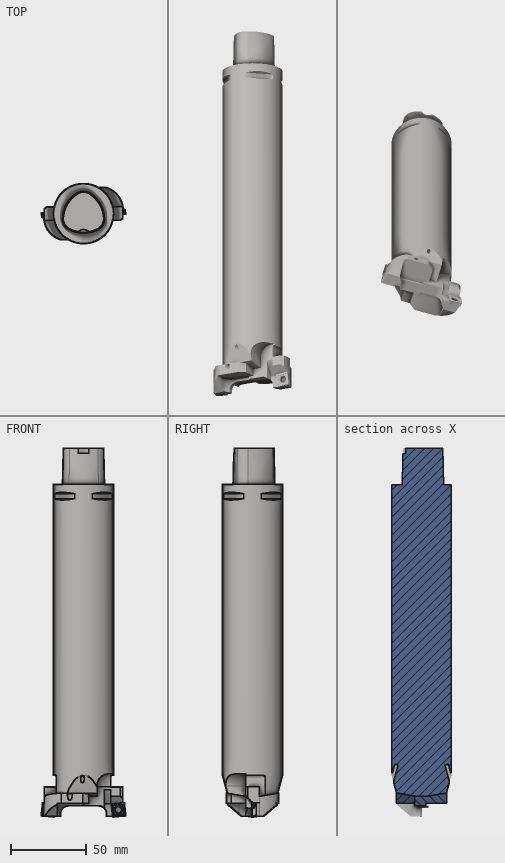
import cadquery as cq
import math

TOTAL_LENGTH = 244.8
SHANK_DIAMETER = 40.0
SHANK_RADIUS = SHANK_DIAMETER / 2
SHANK_TOP = 220.8

COUPLING_LENGTH = TOTAL_LENGTH - SHANK_TOP
LOBE_REACH = 15.0
SIDE_REACH = 13.0
LOBE_RADIUS = 8.0
LOBE_ANGLES = (90, 210, 330)
COUPLING_TAPER = 1.4
KEY_NOTCH_WIDTH = 6.5
KEY_NOTCH_HEIGHT = 3.5
KEY_NOTCH_RADIUS = 4.5
KEY_NOTCH_EDGE = 12.0

GRIP_COUNT = 4
GRIP_FIRST_ANGLE = 45.0
GRIP_HEIGHT = 213.0
GRIP_FLOOR_DISTANCE = 17.6
GRIP_FLOOR_WIDTH = 3.2
GRIP_MOUTH_WIDTH = 5.1

HEAD_BOTTOM = 13.7
SEATING_SLOPE = 9.7
RELIEF_TOP = 28.0
RELIEF_ANGLE = 15.0
SEAT_DISTANCE = 18.0
SEAT_FILLET = 1.2
CHIP_POCKET_TOP = 28.6
CHIP_POCKET_WALL = 9.0
CHIP_POCKET_RADIUS = 7.8
SHANK_COOLANT_DIAMETER = 2.5
SHANK_COOLANT_TILT = 15.0
SHANK_COOLANT_X = 0.7
SHANK_COOLANT_HEIGHT = 25.2

KEY_WIDTH = 9.0
KEY_HALF_WIDTH = KEY_WIDTH / 2
KEY_TOP = 20.0
CARTRIDGE_BOTTOM = 0.5
CARTRIDGE_REACH = 26.2
CARTRIDGE_SIDE = 17.5
CORNER_CHAMFER_X = 2.0
CORNER_CHAMFER_Y = 1.5
BACK_ARC_MIDDLE = (22.3, 12.7)
BACK_ARC_END = 15.0
TAIL_OVERLAP = 3.5
TAIL_CHAMFER_START = 0.5
TAIL_CHAMFER_Y = 14.2
BEVEL_TOP = 9.0
BEVEL_TOE = 7.3
LEG_INNER_X = 15.2
ARCH_TOP = 7.3
ARCH_RADIUS = 5.0
LEG_STEP_X = 17.5
LEG_STEP_Y = 3.0
LEG_STEP_FILLET = 6.0
GULLET_X = 13.7
GULLET_ROOF = 14.0
GULLET_FACE_Y = 0.7
GULLET_FOOT = GULLET_ROOF - (KEY_HALF_WIDTH + GULLET_FACE_Y)
GULLET_POCKET_ROOF = 18.0
GULLET_POCKET_WIDTH = 4.5
BACKING_X = 27.5
BACKING_TOP = 9.5
BACKING_INNER_X = 19.5
BACKING_END = (25.5, 6.9)
CARTRIDGE_COOLANT_DIAMETER = 3.2
CARTRIDGE_COOLANT_TILT = 30.0
CARTRIDGE_COOLANT_X = 9.0
CARTRIDGE_COOLANT_HEIGHT = 14.5

CUTTING_DIAMETER = 56.0
INSERT_SIDE = 8.8
INSERT_CORNER = 0.5
INSERT_TILT = 6.0
INSERT_THICKNESS = 3.0
INSERT_RELIEF = 7.0
INSERT_FACE_Y = -0.5
INSERT_HOLE = 4.5
INSERT_HOLE_MOUTH = 5.5
CHIPBREAKER_SIDE = 6.4
CHIPBREAKER_DEPTH = 0.2

tilt = math.radians(INSERT_TILT)
insert_reach = (INSERT_SIDE / 2 - INSERT_CORNER) * (math.cos(tilt) + math.sin(tilt)) + INSERT_CORNER
INSERT_X = CUTTING_DIAMETER / 2 - insert_reach
INSERT_Z = insert_reach

BEYOND = 73.5
COOLANT_LENGTH = 9.8
HALF_TURNS = (0, 180)
ORIGIN = (0, 0, 0)
Z_AXIS = (0, 0, 1)


def box(x, y, z):
    """Box spanning the given (low, high) pairs."""
    size = (x[1] - x[0], y[1] - y[0], z[1] - z[0])
    return cq.Workplane("XY").box(*size, centered=False).translate((x[0], y[0], z[0]))


def turned(shape, angle):
    return shape.rotate(ORIGIN, Z_AXIS, angle)


def polar(radius, angle):
    return (radius * math.cos(math.radians(angle)), radius * math.sin(math.radians(angle)))


def coupling_outline():
    """Three small lobe arcs joined by three wide arcs, all meeting tangentially."""
    lobe_offset = LOBE_REACH - LOBE_RADIUS
    side_radius = (SIDE_REACH**2 + lobe_offset**2 - SIDE_REACH * lobe_offset - LOBE_RADIUS**2) / (
        2 * SIDE_REACH - lobe_offset - 2 * LOBE_RADIUS
    )
    side_offset = side_radius - SIDE_REACH

    def joint(lobe_angle, side_angle):
        lobe_x, lobe_y = polar(lobe_offset, lobe_angle)
        side_x, side_y = polar(side_offset, side_angle + 180)
        stretch = side_radius / (side_radius - LOBE_RADIUS)
        return (side_x + (lobe_x - side_x) * stretch, side_y + (lobe_y - side_y) * stretch)

    outline = cq.Workplane("XY").workplane(offset=SHANK_TOP).moveTo(*joint(90, 30))
    for lobe_angle in LOBE_ANGLES:
        outline = outline.threePointArc(polar(LOBE_REACH, lobe_angle), joint(lobe_angle, lobe_angle + 60))
        outline = outline.threePointArc(
            polar(SIDE_REACH, lobe_angle + 60), joint(lobe_angle + 120, lobe_angle + 60)
        )
    return outline.close()


def coupling():
    shape = coupling_outline().extrude(COUPLING_LENGTH, taper=COUPLING_TAPER)
    notch_offset = math.sqrt(KEY_NOTCH_RADIUS**2 - (KEY_NOTCH_WIDTH / 2) ** 2)
    notch = (
        cq.Workplane("XY")
        .workplane(offset=TOTAL_LENGTH - KEY_NOTCH_HEIGHT)
        .center(0, -KEY_NOTCH_EDGE - notch_offset)
        .circle(KEY_NOTCH_RADIUS)
        .extrude(BEYOND)
    )
    return shape.cut(notch)


def grip_notch():
    """Trapezoidal groove, straight across the shank, on the +X side."""
    depth = SHANK_RADIUS - GRIP_FLOOR_DISTANCE
    flare = (GRIP_MOUTH_WIDTH - GRIP_FLOOR_WIDTH) / 2
    outer_half = GRIP_FLOOR_WIDTH / 2 + 2 * flare
    return (
        cq.Workplane("XZ")
        .moveTo(GRIP_FLOOR_DISTANCE, GRIP_HEIGHT - GRIP_FLOOR_WIDTH / 2)
        .lineTo(GRIP_FLOOR_DISTANCE + 2 * depth, GRIP_HEIGHT - outer_half)
        .lineTo(GRIP_FLOOR_DISTANCE + 2 * depth, GRIP_HEIGHT + outer_half)
        .lineTo(GRIP_FLOOR_DISTANCE, GRIP_HEIGHT + GRIP_FLOOR_WIDTH / 2)
        .close()
        .extrude(SHANK_RADIUS, both=True)
    )


def side_relief():
    """Sloping flat on the +Y side, running inward toward the lower end."""
    slope_run = RELIEF_TOP * math.tan(math.radians(RELIEF_ANGLE))
    return (
        cq.Workplane("YZ")
        .moveTo(SHANK_RADIUS, RELIEF_TOP)
        .lineTo(SHANK_RADIUS - slope_run, 0)
        .lineTo(BEYOND, 0)
        .lineTo(BEYOND, RELIEF_TOP)
        .close()
        .extrude(BEYOND, both=True)
    )


def seat_flat():
    """Flat on the +X side that the cartridge stands against."""
    flat = box((SEAT_DISTANCE, BEYOND), (-BEYOND, BEYOND), (0, RELIEF_TOP))
    return flat.edges("<X and >Z").fillet(SEAT_FILLET)


def chip_pocket():
    """Pocket ahead of the +X insert, with a rounded inner top corner."""
    pocket = box((CHIP_POCKET_WALL, BEYOND), (-BEYOND, -KEY_HALF_WIDTH), (0, CHIP_POCKET_TOP))
    return pocket.edges("<X and >Z").fillet(CHIP_POCKET_RADIUS)


def key_slot():
    """Slot in the +X side of the shank that takes the key of the cartridge."""
    return box((CHIP_POCKET_WALL, BEYOND), (-KEY_HALF_WIDTH, KEY_HALF_WIDTH), (0, KEY_TOP))


def coolant_hole(diameter, tilt_angle, exit_point):
    """Drilling that leaves the +Y side at the given point, rising inward."""
    angle = math.radians(tilt_angle)
    direction = cq.Vector(0, -math.sin(angle), math.cos(angle))
    start = cq.Vector(*exit_point) - direction * COOLANT_LENGTH
    hole = cq.Solid.makeCylinder(diameter / 2, 2 * COOLANT_LENGTH, start, direction)
    return cq.Workplane(obj=hole)


def seating_cut(level):
    """Prism on the +Y side between the sloping seating plane and the given level."""
    rise = (BEYOND - KEY_HALF_WIDTH) * math.tan(math.radians(SEATING_SLOPE))
    return (
        cq.Workplane("YZ")
        .moveTo(KEY_HALF_WIDTH, HEAD_BOTTOM)
        .lineTo(BEYOND, HEAD_BOTTOM + rise)
        .lineTo(BEYOND, level)
        .lineTo(KEY_HALF_WIDTH, level)
        .close()
        .extrude(BEYOND, both=True)
    )


def build_shank():
    shank = (
        cq.Workplane("XY").workplane(offset=HEAD_BOTTOM).circle(SHANK_RADIUS).extrude(SHANK_TOP - HEAD_BOTTOM)
    )
    for number in range(GRIP_COUNT):
        shank = shank.cut(turned(grip_notch(), GRIP_FIRST_ANGLE + number * 360 / GRIP_COUNT))
    relief_y = SHANK_RADIUS - (RELIEF_TOP - SHANK_COOLANT_HEIGHT) * math.tan(math.radians(RELIEF_ANGLE))
    coolant_exit = (SHANK_COOLANT_X, relief_y, SHANK_COOLANT_HEIGHT)
    for angle in HALF_TURNS:
        for cutter in (
            side_relief(),
            seat_flat(),
            chip_pocket(),
            key_slot(),
            seating_cut(0),
            coolant_hole(SHANK_COOLANT_DIAMETER, SHANK_COOLANT_TILT, coolant_exit),
        ):
            shank = shank.cut(turned(cutter, angle))
    return shank.union(coupling())


def cartridge_slide():
    """Cartridge on the +X side before any cuts, at the full height of its key."""
    return (
        cq.Workplane("XY")
        .workplane(offset=CARTRIDGE_BOTTOM)
        .moveTo(CARTRIDGE_REACH, KEY_HALF_WIDTH)
        .threePointArc(BACK_ARC_MIDDLE, (BACK_ARC_END, CARTRIDGE_SIDE))
        .lineTo(TAIL_CHAMFER_START, CARTRIDGE_SIDE)
        .lineTo(-TAIL_OVERLAP, TAIL_CHAMFER_Y)
        .lineTo(-TAIL_OVERLAP, KEY_HALF_WIDTH)
        .lineTo(0, KEY_HALF_WIDTH)
        .lineTo(0, -KEY_HALF_WIDTH)
        .lineTo(CARTRIDGE_REACH - CORNER_CHAMFER_X, -KEY_HALF_WIDTH)
        .lineTo(CARTRIDGE_REACH, -KEY_HALF_WIDTH + CORNER_CHAMFER_Y)
        .close()
        .extrude(KEY_TOP - CARTRIDGE_BOTTOM)
    )


def key_shoulder():
    """Space above the middle of the cartridge, inward of its key."""
    return box((-BEYOND, CHIP_POCKET_WALL), (-KEY_HALF_WIDTH, KEY_HALF_WIDTH), (HEAD_BOTTOM, BEYOND))


def arch():
    """Opening between the two cartridge legs."""
    opening = box((-LEG_INNER_X, LEG_INNER_X), (-BEYOND, BEYOND), (-BEYOND, ARCH_TOP))
    return opening.edges("|Y and >Z").fillet(ARCH_RADIUS)


def leg_step():
    """Clearance behind the leg, level with the top of its bevel."""
    step = box((-BEYOND, LEG_STEP_X), (LEG_STEP_Y, BEYOND), (-BEYOND, BEVEL_TOP))
    return step.edges("|Z and >X and <Y").fillet(LEG_STEP_FILLET)


def leg_bevel():
    """Sloping cut under the back of the leg."""
    return (
        cq.Workplane("YZ")
        .moveTo(BEVEL_TOE, CARTRIDGE_BOTTOM)
        .lineTo(CARTRIDGE_SIDE, BEVEL_TOP)
        .lineTo(CARTRIDGE_SIDE, CARTRIDGE_BOTTOM)
        .close()
        .extrude(BEYOND, both=True)
    )


def gullet(roof, width):
    """Chip space ahead of the insert, under a sloping roof that meets the gullet face."""
    return (
        cq.Workplane("YZ")
        .workplane(offset=GULLET_X)
        .moveTo(GULLET_FACE_Y, 0)
        .lineTo(GULLET_FACE_Y, GULLET_FOOT)
        .lineTo(-KEY_HALF_WIDTH, roof)
        .lineTo(-KEY_HALF_WIDTH, 0)
        .close()
        .extrude(width)
    )


def insert_backing():
    """Lip behind the outer edge of the insert."""
    return (
        cq.Workplane("XY")
        .workplane(offset=CARTRIDGE_BOTTOM)
        .moveTo(BACKING_INNER_X, GULLET_FACE_Y)
        .lineTo(BACKING_X, GULLET_FACE_Y)
        .lineTo(*BACKING_END)
        .lineTo(BACKING_INNER_X, BACKING_END[1])
        .close()
        .extrude(BACKING_TOP - CARTRIDGE_BOTTOM)
    )


def insert_blank():
    """Square insert of the +X cartridge with relief on its flanks and no hole."""
    return (
        cq.Workplane("XZ", origin=(INSERT_X, INSERT_FACE_Y, INSERT_Z))
        .transformed(rotate=(0, 0, INSERT_TILT))
        .sketch()
        .rect(INSERT_SIDE, INSERT_SIDE)
        .vertices()
        .fillet(INSERT_CORNER)
        .finalize()
        .extrude(-INSERT_THICKNESS, taper=INSERT_RELIEF)
    )


def build_insert():
    face = cq.Workplane("XZ", origin=(INSERT_X, INSERT_FACE_Y, INSERT_Z))
    chipbreaker = (
        face.transformed(rotate=(0, 0, INSERT_TILT))
        .rect(CHIPBREAKER_SIDE, CHIPBREAKER_SIDE)
        .extrude(-CHIPBREAKER_DEPTH)
    )
    hole = face.circle(INSERT_HOLE / 2).extrude(-INSERT_THICKNESS)
    mouth_depth = (INSERT_HOLE_MOUTH - INSERT_HOLE) / 2
    mouth = (
        face.workplane(offset=-CHIPBREAKER_DEPTH)
        .circle(INSERT_HOLE_MOUTH / 2)
        .workplane(offset=-mouth_depth)
        .circle(INSERT_HOLE / 2)
        .loft(ruled=True)
    )
    return insert_blank().cut(chipbreaker).cut(hole).cut(mouth)


def build_cartridge():
    coolant_exit = (CARTRIDGE_COOLANT_X, CARTRIDGE_SIDE, CARTRIDGE_COOLANT_HEIGHT)
    cartridge = cartridge_slide().union(insert_backing())
    for cutter in (
        seating_cut(TOTAL_LENGTH),
        key_shoulder(),
        arch(),
        leg_step(),
        leg_bevel(),
        gullet(GULLET_ROOF, BEYOND),
        gullet(GULLET_POCKET_ROOF, GULLET_POCKET_WIDTH),
        insert_blank(),
        coolant_hole(CARTRIDGE_COOLANT_DIAMETER, CARTRIDGE_COOLANT_TILT, coolant_exit),
    ):
        cartridge = cartridge.cut(cutter)
    return cartridge


shank = build_shank()
cartridges = [turned(build_cartridge(), angle) for angle in HALF_TURNS]
inserts = [turned(build_insert(), angle) for angle in HALF_TURNS]

result = cq.Compound.makeCompound([body.val() for body in [shank, *cartridges, *inserts]])